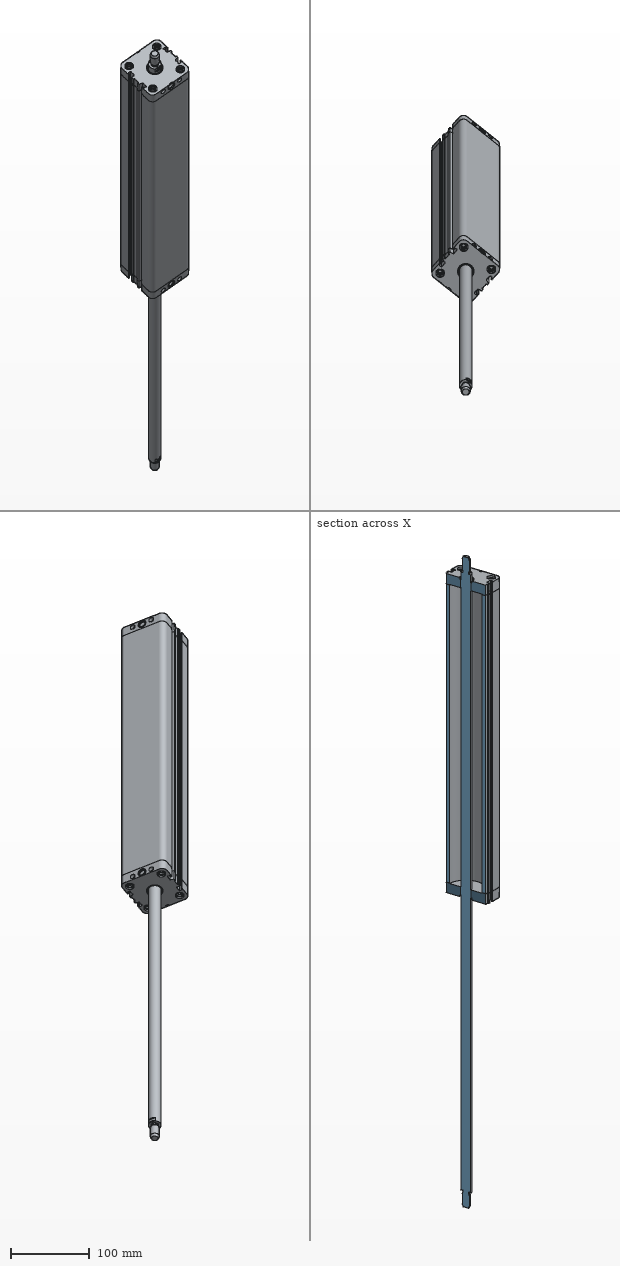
import cadquery as cq
import math

TOTAL_LENGTH = 905.0
HOUSING_BOTTOM = 430.0
HOUSING_LENGTH = 444.0
CAP_HEIGHT = 14.5
PROFILE_LENGTH = HOUSING_LENGTH - 2 * CAP_HEIGHT
PROFILE_BOTTOM = HOUSING_BOTTOM + CAP_HEIGHT
PROFILE_TOP = PROFILE_BOTTOM + PROFILE_LENGTH

CAP_FACE_WIDTH = 65.0
CAP_DRAFT = 0.8
WIDTH = CAP_FACE_WIDTH + 2 * CAP_HEIGHT * math.tan(math.radians(CAP_DRAFT))
HALF_WIDTH = WIDTH / 2
CORNER_RADIUS = 7.0
BORE_DIAMETER = 50.0

SLOT_INNER_LIP = 7.0
SLOT_OUTER_LIP = 13.0
SLOT_LIP_DEPTH = 2.0
SLOT_DEPTH = 5.0
SLOT_UNDERCUT = 3.0
SLOT_FLOOR_WIDTH = 7.0
NOTCH_WIDTH = 8.0
NOTCH_DEPTH = 2.0

CORNER_SCREW_STEPS = [(11.0, 3.0), (7.5, 5.0), (5.2, 9.0)]
ROD_SEAL_STEPS = [(21.0, 1.0), (18.0, 3.0)]
SIDE_HOLE_STEPS = [(6.6, 5.0), (5.2, 9.0)]
PLUG_STEPS = [(11.0, 1.0), (7.7, 2.0)]
PORT_STEPS = [(11.0, 2.0), (8.6, 8.0)]
CORNER_SCREW_PITCH = 46.0
SIDE_HOLE_PITCH = 27.0
SIDE_HOLE_FROM_END = 5.0
PORT_FROM_END = 6.0

ROD_DIAMETER = 16.0
THREAD_DIAMETER = 12.0
NECK_DIAMETER = 10.0
TIP_DIAMETER = 8.6
TIP_CHAMFER_LENGTH = 4.0
THREAD_LENGTH = 18.0
THREAD_RUNOUT = 2.3
SHOULDER_FROM_TIP = 23.0
FLAT_START = 23.5
FLAT_END = 29.0
ACROSS_FLATS = 13.0


def rounded_square():
    """Square section with filleted corners, centred on the Z axis."""
    return cq.Sketch().rect(WIDTH, WIDTH).vertices().fillet(CORNER_RADIUS)


def side_grooves(length):
    """Cutters for the slots and notch along both Y sides, from Z = 0 upwards."""
    lip_y = HALF_WIDTH - SLOT_LIP_DEPTH
    floor_y = HALF_WIDTH - SLOT_DEPTH
    cavity_x = SLOT_OUTER_LIP + SLOT_UNDERCUT
    slot = (
        cq.Workplane("XY")
        .moveTo(SLOT_INNER_LIP, HALF_WIDTH)
        .lineTo(SLOT_INNER_LIP, lip_y)
        .lineTo(cavity_x - SLOT_FLOOR_WIDTH, floor_y)
        .lineTo(cavity_x, floor_y)
        .lineTo(cavity_x, lip_y)
        .lineTo(SLOT_OUTER_LIP, lip_y)
        .lineTo(SLOT_OUTER_LIP, HALF_WIDTH)
        .close()
        .extrude(length)
    )
    notch = (
        cq.Workplane("XY")
        .center(0, HALF_WIDTH - NOTCH_DEPTH / 2)
        .rect(NOTCH_WIDTH, NOTCH_DEPTH)
        .extrude(length)
    )
    one_side = slot.add(slot.mirror("YZ")).add(notch).combine()
    return one_side.add(one_side.mirror("XZ")).combine()


def cut_steps(body, mouth, inward, steps):
    """Cut coaxial cylinders of decreasing diameter from a mouth point inwards."""
    for diameter, depth in steps:
        cutter = cq.Solid.makeCylinder(diameter / 2, depth, cq.Vector(*mouth), cq.Vector(*inward))
        body = body.cut(cq.Workplane(cutter))
    return body


def make_profile():
    """Extruded barrel with the cylinder bore and the side grooves."""
    profile = cq.Workplane("XY").placeSketch(rounded_square()).extrude(PROFILE_LENGTH)
    profile = profile.cut(side_grooves(PROFILE_LENGTH))
    profile = profile.faces(">Z").workplane(origin=(0, 0, 0)).hole(BORE_DIAMETER)
    return profile.translate((0, 0, PROFILE_BOTTOM))


def make_cap():
    """Drafted end cap: inner face at Z = 0, outer face at Z = CAP_HEIGHT."""
    cap = cq.Workplane("XY").placeSketch(rounded_square()).extrude(CAP_HEIGHT, taper=CAP_DRAFT)
    cap = cap.cut(side_grooves(CAP_HEIGHT))
    cap = cap.faces(">Z").workplane(origin=(0, 0, 0)).hole(ROD_DIAMETER)
    cap = cut_steps(cap, (0, 0, CAP_HEIGHT), (0, 0, -1), ROD_SEAL_STEPS)

    screw = CORNER_SCREW_PITCH / 2
    for x in (-screw, screw):
        for y in (-screw, screw):
            cap = cut_steps(cap, (x, y, CAP_HEIGHT), (0, 0, -1), CORNER_SCREW_STEPS)

    hole_z = CAP_HEIGHT - SIDE_HOLE_FROM_END
    for side in (-1, 1):
        for y in (-SIDE_HOLE_PITCH / 2, SIDE_HOLE_PITCH / 2):
            cap = cut_steps(cap, (side * HALF_WIDTH, y, hole_z), (-side, 0, 0), SIDE_HOLE_STEPS)
    port_z = CAP_HEIGHT - PORT_FROM_END
    cap = cut_steps(cap, (-HALF_WIDTH, 0, port_z), (1, 0, 0), PLUG_STEPS)
    return cut_steps(cap, (HALF_WIDTH, 0, port_z), (-1, 0, 0), PORT_STEPS)


def make_rod():
    """Through rod with a chamfered thread, an undercut neck and wrench flats at each end."""
    lower_outline = [
        (0, 0),
        (TIP_DIAMETER / 2, 0),
        (THREAD_DIAMETER / 2, TIP_CHAMFER_LENGTH),
        (THREAD_DIAMETER / 2, THREAD_LENGTH),
        (NECK_DIAMETER / 2, THREAD_LENGTH + THREAD_RUNOUT),
        (NECK_DIAMETER / 2, SHOULDER_FROM_TIP),
        (ROD_DIAMETER / 2, SHOULDER_FROM_TIP),
    ]
    upper_outline = [(radius, TOTAL_LENGTH - z) for radius, z in reversed(lower_outline)]
    rod = cq.Workplane("XZ").polyline(lower_outline + upper_outline).close().revolve(360, (0, 0), (0, 1))

    flat_length = FLAT_END - FLAT_START
    flat_middle = (FLAT_START + FLAT_END) / 2
    for z in (flat_middle, TOTAL_LENGTH - flat_middle):
        for side in (-1, 1):
            x = side * (ACROSS_FLATS + ROD_DIAMETER) / 2
            cutter = cq.Workplane("XY").box(ROD_DIAMETER, ROD_DIAMETER, flat_length).translate((x, 0, z))
            rod = rod.cut(cutter)
    return rod


profile = make_profile()
rod = make_rod()

caps = []
for turn, joint_z in ((0, PROFILE_TOP), (180, PROFILE_BOTTOM)):
    cap = make_cap().rotate((0, 0, 0), (1, 0, 0), turn).translate((0, 0, joint_z))
    caps.append(cap.val())

result = cq.Compound.makeCompound([profile.val(), *caps, rod.val()])